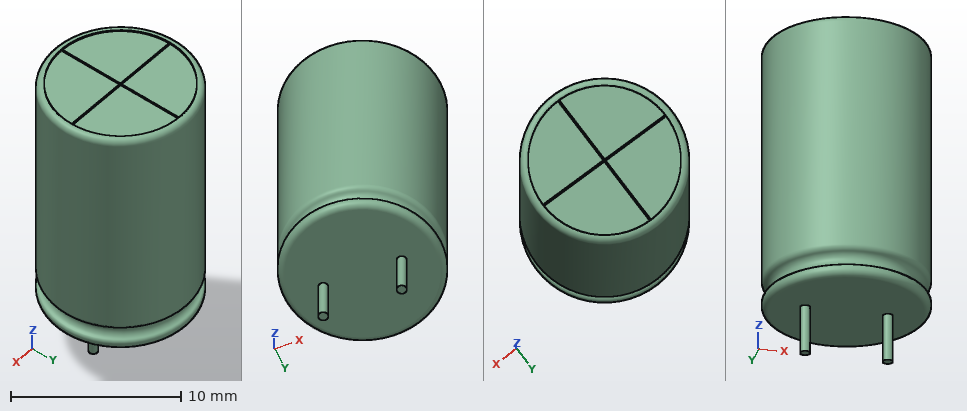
import cadquery as cq
import math


can_diameter = 10.0
can_height = 17.0
rim_fillet = 0.4

groove_radius = 0.5
groove_height = 1.2
lower_lip_fillet = 0.25
upper_lip_fillet = 0.4

cap_diameter = 9.0
cap_recess = 0.1
vent_width = 0.1
vent_depth = vent_width / 2
vent_end_gap = 0.1

lead_diameter = 0.6
lead_spacing = 5.0
lead_length = 3.0

can_radius = can_diameter / 2
cap_height = can_height - cap_recess
vent_length = cap_diameter - 2 * vent_end_gap


def lip_points(fillet, side):
    """Wall, middle and groove points of a lip arc; side is 1 above the groove and -1 below.

    The groove arc is centred on the can wall, and the lip arc is tangent to both wall and groove.
    """
    centre_distance = groove_radius + fillet
    lip_rise = math.sqrt(centre_distance**2 - fillet**2)
    half_turn = math.atan2(lip_rise, fillet) / 2
    middle_inset = fillet * (1 - math.cos(half_turn))
    middle_rise = lip_rise - fillet * math.sin(half_turn)
    touch_ratio = groove_radius / centre_distance

    wall = (can_radius, groove_height + side * lip_rise)
    middle = (can_radius - middle_inset, groove_height + side * middle_rise)
    touch = (can_radius - fillet * touch_ratio, groove_height + side * lip_rise * touch_ratio)
    return wall, middle, touch


def make_can():
    """Revolve the can profile, with its rounded rims and crimp groove."""
    rim_flat_radius = can_radius - rim_fillet
    lower_wall, lower_middle, lower_touch = lip_points(lower_lip_fillet, -1)
    upper_wall, upper_middle, upper_touch = lip_points(upper_lip_fillet, 1)
    groove_floor = (can_radius - groove_radius, groove_height)

    profile = (
        cq.Workplane("XZ")
        .lineTo(rim_flat_radius, 0)
        .radiusArc((can_radius, rim_fillet), -rim_fillet)
        .lineTo(*lower_wall)
        .threePointArc(lower_middle, lower_touch)
        .threePointArc(groove_floor, upper_touch)
        .threePointArc(upper_middle, upper_wall)
        .lineTo(can_radius, can_height - rim_fillet)
        .radiusArc((rim_flat_radius, can_height), -rim_fillet)
        .lineTo(0, can_height)
        .close()
    )
    return profile.revolve(360, (0, 0, 0), (0, 1, 0))


def make_cap_recess():
    """Shallow round recess that leaves the sleeve standing around the cap."""
    return cq.Workplane("XY").workplane(offset=cap_height).circle(cap_diameter / 2).extrude(cap_recess)


def make_vent_groove(plane):
    """One V-groove across the cap, drawn on the vertical plane it runs square to."""
    half_width = vent_width / 2
    return (
        cq.Workplane(plane)
        .moveTo(-half_width, cap_height)
        .lineTo(half_width, cap_height)
        .lineTo(0, cap_height - vent_depth)
        .close()
        .extrude(vent_length / 2, both=True)
    )


def make_vent_cross():
    """Two crossed V-grooves scored into the cap."""
    return make_vent_groove("XZ").union(make_vent_groove("YZ"))


def make_leads():
    """Pair of round leads under the can."""
    lead_x = lead_spacing / 2
    return (
        cq.Workplane("XY")
        .pushPoints([(-lead_x, 0), (lead_x, 0)])
        .circle(lead_diameter / 2)
        .extrude(-lead_length)
    )


result = make_can().cut(make_cap_recess()).cut(make_vent_cross()).union(make_leads())